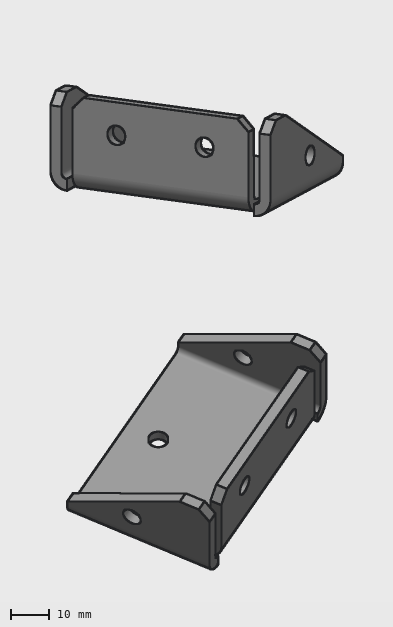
import cadquery as cq
import math

width = 63.4
depth = 41.65
height = 25.4

thickness = 3.2
inner_radius = 1.6
outer_radius = inner_radius + thickness

relief_width = 1.6
relief_depth = 6.35
front_width = width - 2 * (outer_radius + relief_width)
corner_chamfer = 3.2

slope_angle = 30.0
back_height = 6.4
slope_length = (height - back_height) / math.tan(math.radians(slope_angle))
slope_front_y = depth - slope_length

hole_diameter = 5.15
front_hole_spacing = 25.35
front_hole_z = 16.6
base_hole_y = depth - 9.6
side_hole_y = 22.7
side_hole_z = 11.15


def bent_section(plane):
    """Section of an upright flange at local x = 0 and the bend that joins it to the base."""
    corner_45 = math.sqrt(0.5)
    outer_mid = outer_radius * (1 - corner_45)
    inner_mid = outer_radius - inner_radius * corner_45
    return (
        cq.Workplane(plane)
        .moveTo(0, height)
        .lineTo(0, outer_radius)
        .threePointArc((outer_mid, outer_mid), (outer_radius, 0))
        .lineTo(outer_radius, thickness)
        .threePointArc((inner_mid, inner_mid), (thickness, outer_radius))
        .lineTo(thickness, height)
        .close()
    )


def make_base():
    """Flat plate between the bends, notched by the relief slots at its front corners."""
    plate = cq.Workplane("XY").box(
        width - 2 * outer_radius, depth - relief_depth, thickness, centered=(True, False, False)
    ).translate((0, relief_depth, 0))
    front_tongue = cq.Workplane("XY").box(
        front_width, relief_depth - outer_radius, thickness, centered=(True, False, False)
    ).translate((0, outer_radius, 0))
    return plate.union(front_tongue)


def make_left_flange():
    """Side flange with its bend, trimmed to the sloped outline."""
    section_plane = cq.Plane(origin=(-width / 2, 0, 0), xDir=(1, 0, 0), normal=(0, -1, 0))
    flange = bent_section(section_plane).extrude(-depth)
    outline = (
        cq.Workplane("YZ", origin=(-width / 2, 0, 0))
        .polyline([
            (0, 0),
            (depth, 0),
            (depth, back_height),
            (slope_front_y, height),
            (corner_chamfer, height),
            (0, height - corner_chamfer),
        ])
        .close()
        .extrude(outer_radius)
    )
    return flange.intersect(outline)


def make_front_flange():
    """Front flange with its bend, chamfered at both upper corners."""
    section_plane = cq.Plane(origin=(-front_width / 2, 0, 0), xDir=(0, 1, 0), normal=(1, 0, 0))
    flange = bent_section(section_plane).extrude(front_width)
    upper_corners = cq.selectors.BoxSelector(
        (-width, -thickness, height - thickness), (width, 2 * thickness, height + thickness)
    )
    return flange.edges("|Y").edges(upper_corners).chamfer(corner_chamfer)


def make_holes():
    """Cutters for the front, base and side holes."""
    front_holes = (
        cq.Workplane("XZ")
        .pushPoints([(side * front_hole_spacing / 2, front_hole_z) for side in (-1, 1)])
        .circle(hole_diameter / 2)
        .extrude(-thickness)
    )
    base_hole = (
        cq.Workplane("XY").center(0, base_hole_y).circle(hole_diameter / 2).extrude(thickness)
    )
    side_holes = (
        cq.Workplane("YZ")
        .center(side_hole_y, side_hole_z)
        .circle(hole_diameter / 2)
        .extrude(width / 2, both=True)
    )
    return front_holes, base_hole, side_holes


left_flange = make_left_flange()
result = (
    make_base()
    .union(left_flange)
    .union(left_flange.mirror("YZ"))
    .union(make_front_flange())
)
for hole in make_holes():
    result = result.cut(hole)